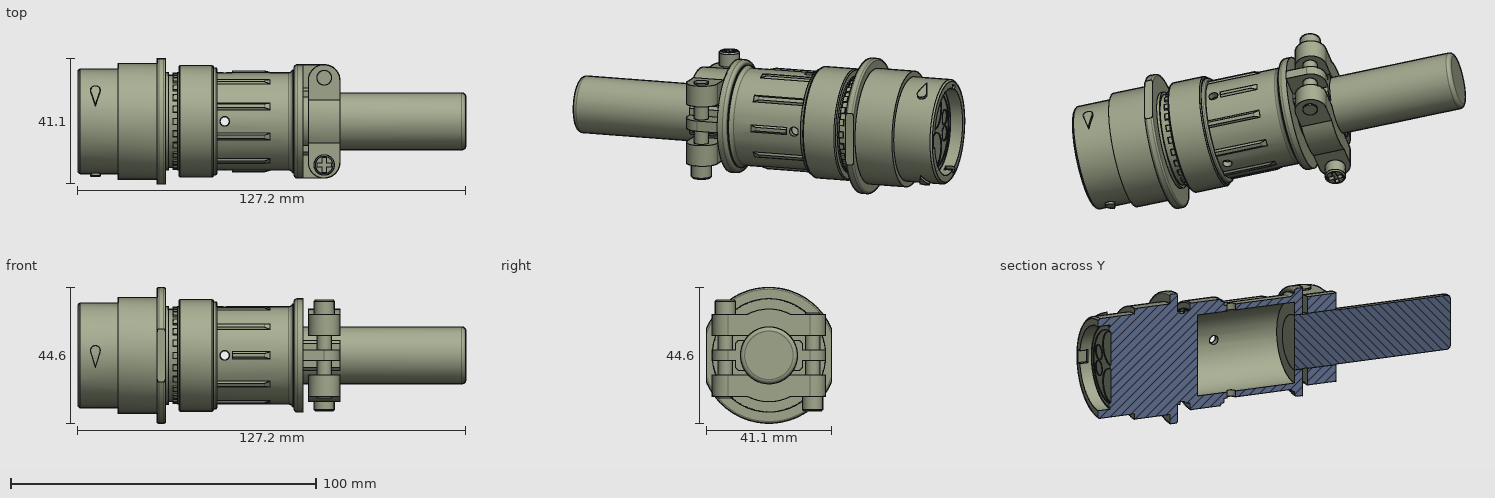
import cadquery as cq
import math

OVERALL_LENGTH = 127.15
OVERLAP = 0.5

CABLE_RADIUS = 18.7 / 2
CABLE_END_FILLET = 1.4

SHELL_RADIUS = 17.2
SHELL_EDGE_CHAMFER = 0.6
BARREL_RADIUS = 19.05
BARREL_START = 13.15
FLANGE_RADIUS = 44.6 / 2
FLANGE_START = 25.9
FLANGE_END = 28.7
FLANGE_FILLET = 0.6
FLANGE_WIDTH = 41.1
FLANGE_REAR_RING_RADIUS = 16.05
FLANGE_REAR_RING_END = 29.65

SOCKET_RADIUS = 28.7 / 2
SOCKET_DEPTH = 4.0
SOCKET_GROOVE_INNER_RADIUS = 13.95
INSERT_RADIUS = 24.8 / 2
INSERT_SETBACK = 0.3
CONTACT_SETBACK = 0.3
POWER_CONTACT_DIAMETER = 11.3
POWER_CONTACT_Z = 6.35
SIGNAL_CONTACT_DIAMETER = 5.0
SIGNAL_CONTACT_Y = 8.8
SIGNAL_CONTACT_Z = 2.7
KEYWAY_DEPTH = 3.0
KEYWAY_BOTTOM_RADIUS = 15.5
KEYWAYS = [(0, 4.4), (111, 2.2), (-111, 2.2)]

MARK_X = 5.7
MARK_RADIUS = 1.6
MARK_TIP_LENGTH = 5.5
MARK_OUTER_RADIUS = 18.0
MARK_ANGLES = (60, 180, 300)

NECK_RADIUS = 30.38 / 2
TOOTH_START = 31.2
TOOTH_END = 32.6
TOOTH_OUTER_RADIUS = 15.8
TOOTH_COUNT = 24
NUT_RADIUS = 18.35
NUT_START = 33.1
NUT_END = 44.4
NUT_CHAMFER = 0.4
NUT_LIP_RADIUS = 17.55
NUT_LIP_END = 45.5
NUT_LIP_FILLET = 0.5

BODY_RADIUS = 16.0
FLARE_START = 69.0
FLARE_END = 70.4
FLARE_RADIUS = 16.9
REAR_FLANGE_RADIUS = 18.6
REAR_FLANGE_START = 70.75
REAR_FLANGE_FILLET = 1.2
REAR_FLANGE_END = 73.8
CAVITY_RADIUS = 13.8
CAVITY_START = 36.0
CAVITY_END = REAR_FLANGE_START
SIDE_HOLE_DIAMETER = 3.0
SIDE_HOLE_X = 48.1

RIB_COUNT = 10
RIB_BASE_WIDTH = 3.3
RIB_TOP_WIDTH = 1.2
RIB_OUTER_RADIUS = 16.55
RIB_END = 63.0
RIB_RAMP_LENGTH = 1.9
SHORT_RIB_START = 50.6

CLAMP_X = 80.7
EAR_RADIUS = 5.2
EAR_Y = REAR_FLANGE_RADIUS - EAR_RADIUS
LUG_HALF_THICKNESS = 1.72
CHEEK_OUTER_Y = 11.0
CHEEK_HALF_HEIGHT = 4.95
CHEEK_CHAMFER = 1.0
STRAP_INNER_Z = 6.5
STRAP_OUTER_Z = 13.45
STRAP_CROWN_RADIUS = 15.2

SCREW_Y = 14.3
SCREW_DIAMETER = 4.8
SCREW_TIP_Z = STRAP_OUTER_Z + 0.5
SCREW_HEAD_DIAMETER = 6.7
SCREW_HEAD_TOP_Z = 18.2
SCREW_HEAD_CHAMFER = 0.5
SCREW_CROSS_LENGTH = 4.8
SCREW_CROSS_WIDTH = 1.4
SCREW_CROSS_DEPTH = 1.5


def x_cylinder(radius, start, end, y=0, z=0):
    """Cylinder parallel to X between two X positions."""
    return cq.Workplane("YZ", origin=(start, y, z)).circle(radius).extrude(end - start)


def around_axis(feature, angle):
    """Turn a feature about the connector axis."""
    return feature.rotate((0, 0, 0), (1, 0, 0), angle)


def make_cable():
    cable = x_cylinder(CABLE_RADIUS, CAVITY_END, OVERALL_LENGTH)
    return cable.faces(">X").edges().fillet(CABLE_END_FILLET)


def make_mounting_flange():
    flange = x_cylinder(FLANGE_RADIUS, FLANGE_START, FLANGE_END).edges().fillet(FLANGE_FILLET)
    flats = cq.Workplane("XY").box(2 * FLANGE_END, FLANGE_WIDTH, 2 * FLANGE_RADIUS)
    return flange.intersect(flats)


def make_coupling_nut():
    nut = x_cylinder(NUT_RADIUS, NUT_START, NUT_END).edges().chamfer(NUT_CHAMFER)
    lip = x_cylinder(NUT_LIP_RADIUS, NUT_START, NUT_LIP_END)
    return nut.union(lip.faces(">X").edges().fillet(NUT_LIP_FILLET))


def make_rear_body():
    """Revolved barrel that flares smoothly into the rear flange."""
    profile = (
        cq.Workplane("XY")
        .moveTo(NUT_END, 0)
        .lineTo(NUT_END, BODY_RADIUS)
        .lineTo(FLARE_START, BODY_RADIUS)
        .tangentArcPoint((FLARE_END, FLARE_RADIUS), relative=False)
        .lineTo(REAR_FLANGE_START, FLARE_RADIUS)
        .lineTo(REAR_FLANGE_START, REAR_FLANGE_RADIUS - REAR_FLANGE_FILLET)
        .radiusArc(
            (REAR_FLANGE_START + REAR_FLANGE_FILLET, REAR_FLANGE_RADIUS), REAR_FLANGE_FILLET
        )
        .lineTo(REAR_FLANGE_END, REAR_FLANGE_RADIUS)
        .lineTo(REAR_FLANGE_END, 0)
        .close()
    )
    return profile.revolve(360, (0, 0, 0), (1, 0, 0))


def make_tooth():
    """One locking tooth, pointing toward +Z."""
    width = math.pi * NECK_RADIUS / TOOTH_COUNT
    length = TOOTH_END - TOOTH_START
    height = TOOTH_OUTER_RADIUS - NECK_RADIUS + OVERLAP
    tooth = cq.Workplane("XY").box(length, width, height, centered=(False, True, False))
    return tooth.translate((TOOTH_START, 0, NECK_RADIUS - OVERLAP))


def make_rib(start):
    """One tapered grip rib with a ramped rear end, pointing toward +Z."""
    foot = BODY_RADIUS - OVERLAP
    section = (
        cq.Workplane("YZ", origin=(start, 0, 0))
        .moveTo(-RIB_BASE_WIDTH / 2, foot)
        .lineTo(RIB_BASE_WIDTH / 2, foot)
        .lineTo(RIB_TOP_WIDTH / 2, RIB_OUTER_RADIUS)
        .lineTo(-RIB_TOP_WIDTH / 2, RIB_OUTER_RADIUS)
        .close()
        .extrude(RIB_END - start)
    )
    side_outline = (
        cq.Workplane("XZ")
        .polyline([
            (start, foot),
            (RIB_END, foot),
            (RIB_END, BODY_RADIUS),
            (RIB_END - RIB_RAMP_LENGTH, RIB_OUTER_RADIUS),
            (start, RIB_OUTER_RADIUS),
        ])
        .close()
        .extrude(RIB_BASE_WIDTH, both=True)
    )
    return section.intersect(side_outline)


def make_mark():
    """One raised teardrop facing +Z, its round end toward +Y and its point toward -Y."""
    tangent_angle = math.acos(MARK_RADIUS / MARK_TIP_LENGTH)
    round_end_y = MARK_RADIUS
    touch_x = MARK_RADIUS * math.sin(tangent_angle)
    touch_y = round_end_y - MARK_RADIUS * math.cos(tangent_angle)
    outline = (
        cq.Workplane("XY", origin=(MARK_X, 0, 0))
        .moveTo(0, round_end_y - MARK_TIP_LENGTH)
        .lineTo(touch_x, touch_y)
        .threePointArc((0, round_end_y + MARK_RADIUS), (-touch_x, touch_y))
        .close()
        .extrude(MARK_OUTER_RADIUS)
    )
    sleeve = x_cylinder(MARK_OUTER_RADIUS, 0, BARREL_START).cut(
        x_cylinder(SHELL_RADIUS - OVERLAP, 0, BARREL_START)
    )
    return outline.intersect(sleeve)


def make_keyway(width):
    """Cutter for one keyway in the socket wall, toward +Y."""
    return cq.Workplane("XY").box(
        KEYWAY_DEPTH, KEYWAY_BOTTOM_RADIUS, width, centered=(False, False, True)
    )


def make_front_cutter():
    """Socket with its keyways and floor groove, the set-back insert face and the contact recesses."""
    insert_face = SOCKET_DEPTH + INSERT_SETBACK
    contact_face = insert_face + CONTACT_SETBACK
    cutter = x_cylinder(SOCKET_RADIUS, 0, insert_face).cut(
        x_cylinder(SOCKET_GROOVE_INNER_RADIUS, SOCKET_DEPTH, insert_face)
    )
    for angle, width in KEYWAYS:
        cutter = cutter.union(around_axis(make_keyway(width), angle))
    cutter = cutter.union(x_cylinder(INSERT_RADIUS, 0, insert_face))
    for z_side in (-1, 1):
        cutter = cutter.union(
            x_cylinder(POWER_CONTACT_DIAMETER / 2, 0, contact_face, z=z_side * POWER_CONTACT_Z)
        )
        for y_side in (-1, 1):
            cutter = cutter.union(
                x_cylinder(
                    SIGNAL_CONTACT_DIAMETER / 2,
                    0,
                    contact_face,
                    y_side * SIGNAL_CONTACT_Y,
                    z_side * SIGNAL_CONTACT_Z,
                )
            )
    return cutter


def make_lug():
    """Flat plate behind the rear flange with rounded corners, plus the two cable cheeks."""
    start = REAR_FLANGE_END
    end = CLAMP_X + EAR_RADIUS
    lug = cq.Workplane("XY").box(
        end - start, 2 * REAR_FLANGE_RADIUS, 2 * LUG_HALF_THICKNESS, centered=(False, True, True)
    )
    lug = lug.translate((start, 0, 0)).edges("|Z and >X").fillet(EAR_RADIUS)
    cheeks = cq.Workplane("XY").box(
        end - start, 2 * CHEEK_OUTER_Y, 2 * CHEEK_HALF_HEIGHT, centered=(False, True, True)
    )
    cheeks = cheeks.translate((start, 0, 0)).edges("|X").chamfer(CHEEK_CHAMFER)
    return lug.union(cheeks)


def make_strap():
    """Upper clamp strap: two rounded ears joined by a crown around the cable."""
    ears = (
        cq.Workplane("XY", origin=(CLAMP_X, 0, STRAP_INNER_Z))
        .slot2D(2 * (EAR_Y + EAR_RADIUS), 2 * EAR_RADIUS, 90)
        .extrude(STRAP_OUTER_Z - STRAP_INNER_Z)
    )
    crown_half_width = math.sqrt(STRAP_CROWN_RADIUS**2 - STRAP_OUTER_Z**2)
    crown = (
        cq.Workplane("YZ", origin=(CLAMP_X - EAR_RADIUS, 0, 0))
        .moveTo(-crown_half_width, STRAP_INNER_Z)
        .lineTo(-crown_half_width, STRAP_OUTER_Z)
        .threePointArc((0, STRAP_CROWN_RADIUS), (crown_half_width, STRAP_OUTER_Z))
        .lineTo(crown_half_width, STRAP_INNER_Z)
        .close()
        .extrude(2 * EAR_RADIUS)
    )
    return ears.union(crown)


def make_screw():
    """Clamp screw with its head up, standing at -Y."""
    head = (
        cq.Workplane("XY", origin=(0, 0, STRAP_OUTER_Z))
        .circle(SCREW_HEAD_DIAMETER / 2)
        .extrude(SCREW_HEAD_TOP_Z - STRAP_OUTER_Z)
        .faces(">Z").edges().chamfer(SCREW_HEAD_CHAMFER)
    )
    shaft = (
        cq.Workplane("XY", origin=(0, 0, -SCREW_TIP_Z))
        .circle(SCREW_DIAMETER / 2)
        .extrude(SCREW_TIP_Z + STRAP_OUTER_Z)
    )
    screw = head.union(shaft)
    for angle in (0, 90):
        slot = (
            cq.Workplane("XY", origin=(0, 0, SCREW_HEAD_TOP_Z - SCREW_CROSS_DEPTH))
            .rect(SCREW_CROSS_LENGTH, SCREW_CROSS_WIDTH)
            .extrude(SCREW_CROSS_DEPTH)
        )
        screw = screw.cut(slot.rotate((0, 0, 0), (0, 0, 1), angle))
    return screw.translate((CLAMP_X, -SCREW_Y, 0))


def make_clamp():
    """Lug, two opposed straps and two screws; each half is the other turned over."""
    clamp = make_lug()
    for angle in (0, 180):
        clamp = clamp.union(around_axis(make_strap(), angle))
        clamp = clamp.union(around_axis(make_screw(), angle))
    return clamp


def make_housing():
    shell = x_cylinder(SHELL_RADIUS, 0, BARREL_START)
    housing = shell.faces("<X").edges().chamfer(SHELL_EDGE_CHAMFER)
    housing = housing.union(x_cylinder(BARREL_RADIUS, BARREL_START, FLANGE_START))
    housing = housing.union(make_mounting_flange())
    housing = housing.union(x_cylinder(FLANGE_REAR_RING_RADIUS, FLANGE_END, FLANGE_REAR_RING_END))
    housing = housing.union(x_cylinder(NECK_RADIUS, FLANGE_REAR_RING_END, TOOTH_END))
    housing = housing.union(x_cylinder(BODY_RADIUS, TOOTH_END, NUT_START))
    housing = housing.union(make_coupling_nut())
    housing = housing.union(make_rear_body())

    for index in range(TOOTH_COUNT):
        housing = housing.union(around_axis(make_tooth(), index * 360 / TOOTH_COUNT))
    for index in range(RIB_COUNT):
        faces_sideways = index % (RIB_COUNT // 2) == 0
        start = SHORT_RIB_START if faces_sideways else NUT_END
        housing = housing.union(around_axis(make_rib(start), 90 + index * 360 / RIB_COUNT))
    for angle in MARK_ANGLES:
        housing = housing.union(around_axis(make_mark(), angle - 90))
    housing = housing.union(make_clamp())

    housing = housing.cut(make_front_cutter())
    housing = housing.cut(x_cylinder(CAVITY_RADIUS, CAVITY_START, CAVITY_END))
    housing = housing.cut(x_cylinder(CABLE_RADIUS, CAVITY_END, OVERALL_LENGTH))
    for plane in ("XY", "XZ"):
        side_holes = (
            cq.Workplane(plane)
            .center(SIDE_HOLE_X, 0)
            .circle(SIDE_HOLE_DIAMETER / 2)
            .extrude(NUT_RADIUS, both=True)
        )
        housing = housing.cut(side_holes)
    return housing


housing = make_housing()
cable = make_cable()
result = cq.Compound.makeCompound([housing.solids().val(), cable.val()])